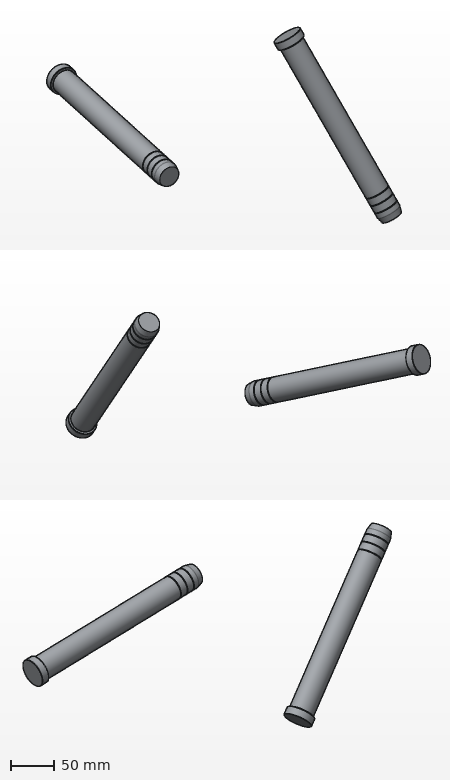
import cadquery as cq
import math

length = 250.0
shank_radius = 30.0 / 2

head_radius = 35.0 / 2
head_length = 10.0
head_chamfer = 0.5

groove_radius = 0.5
relief_center = head_length + groove_radius
groove_pitch = 10.0
groove_count = 3
first_groove_center = 215.0

taper_length = 8.0
taper_angle = 15.0
tip_radius = shank_radius - taper_length * math.tan(math.radians(taper_angle))


def make_head():
    """Flat disc head with both rims chamfered."""
    disc = cq.Workplane("YZ").circle(head_radius).extrude(head_length)
    return disc.edges().chamfer(head_chamfer)


def make_shank():
    """Straight shank ending in a conical tip, drawn as a half profile and revolved."""
    profile = (
        cq.Workplane("XZ")
        .lineTo(0, shank_radius)
        .lineTo(length - taper_length, shank_radius)
        .lineTo(length, tip_radius)
        .lineTo(length, 0)
        .close()
    )
    return profile.revolve(360, (0, 0, 0), (1, 0, 0))


def groove_cutter(center):
    """Torus around the shank that leaves a half-round groove at the given X position."""
    section = cq.Workplane("XZ").center(center, shank_radius).circle(groove_radius)
    return section.revolve(360, (0, -shank_radius, 0), (1, -shank_radius, 0))


groove_centers = [relief_center]
for index in range(groove_count):
    groove_centers.append(first_groove_center + index * groove_pitch)

result = make_head().union(make_shank())
for groove_center in groove_centers:
    result = result.cut(groove_cutter(groove_center))